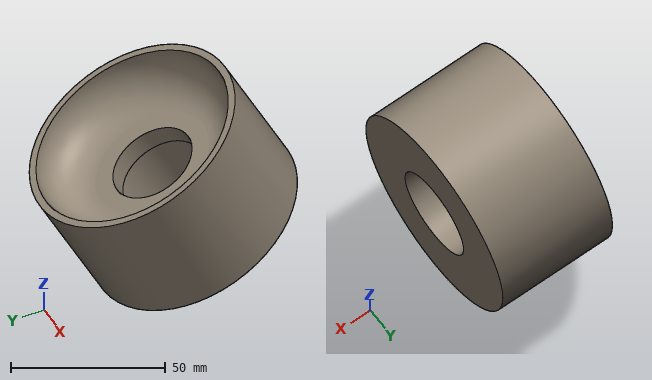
import cadquery as cq

outer_diameter = 75
width = 44.0

bore_diameter = 28.8
land_width = 7.0
rim_inner_diameter = 70.05
floor_diameter = 41.4
bowl_radius = (rim_inner_diameter - floor_diameter) / 2

seat_diameter = 32.0

front_x = -width / 2
back_x = width / 2
floor_x = front_x + bowl_radius
seat_x = floor_x + land_width
diagonal = bowl_radius * 0.5 ** 0.5

section = (
    cq.Workplane("XY")
    .moveTo(front_x, outer_diameter / 2)
    .lineTo(front_x, rim_inner_diameter / 2)
    .threePointArc(
        (front_x + diagonal, floor_diameter / 2 + diagonal),
        (floor_x, floor_diameter / 2),
    )
    .lineTo(floor_x, bore_diameter / 2)
    .lineTo(seat_x, bore_diameter / 2)
    .lineTo(seat_x, seat_diameter / 2)
    .lineTo(back_x, seat_diameter / 2)
    .lineTo(back_x, outer_diameter / 2)
    .close()
)
result = section.revolve(360, (0, 0, 0), (1, 0, 0))